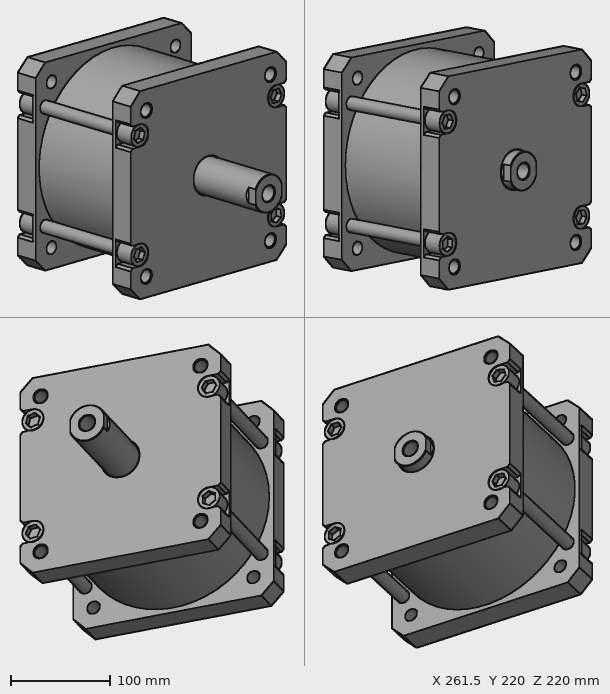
import cadquery as cq
import math

PLATE_THICKNESS = 26.0
BARREL_LENGTH = 111.1
SHAFT_LENGTH = 261.5
SHAFT_SHORT_END = 11.8
STACK_LENGTH = 2 * PLATE_THICKNESS + BARREL_LENGTH

PLATE_SIDE = 220.0
PLATE_CORNER_CHAMFER = 13.5
CORNER_HOLE_DIAMETER = 13.9
CORNER_HOLE_OFFSET = 87.5
HOLE_RIM_CHAMFER = 1.0

BARREL_DIAMETER = 210.0

SHAFT_DIAMETER = 40.0
SHAFT_END_CHAMFER = 0.5
FLAT_SPACING = 36.3
FLAT_LENGTH = 10.0
CENTRE_HOLE_DIAMETER = 16.7
CENTRE_HOLE_DEPTH = 39.2
CENTRE_HOLE_CHAMFER = 0.8
DRILL_POINT_ANGLE = 118.0

ROD_DIAMETER = 14.0
ROD_Y = 96.5
ROD_Z = 63.0
HEAD_DIAMETER = 23.5
HEAD_INSET = 1.0
SOCKET_ACROSS_FLATS = 13.9
SOCKET_DEPTH = 6.8
RODS = [(1, 1, 0), (-1, 1, -46), (1, -1, -27), (-1, -1, 6)]

SLOT_WIDTH = HEAD_DIAMETER
SLOT_DEPTH = 21.5
SLOT_MOUTH_CHAMFER = 3.0


def x_cylinder(diameter, start, length):
    """Cylinder along +X, centred on the shaft axis."""
    return cq.Workplane("YZ", origin=(start, 0, 0)).circle(diameter / 2).extrude(length)


def x_cone(diameter, start, height):
    """Cone on the shaft axis with its base at start; a negative height points along -X."""
    direction = cq.Vector(math.copysign(1, height), 0, 0)
    cone = cq.Solid.makeCone(diameter / 2, 0, abs(height), cq.Vector(start, 0, 0), direction)
    return cq.Workplane(cone)


def mirrored_end_for_end(body):
    """Copy of a body swapped to the opposite end of the barrel and plate stack."""
    return body.mirror("YZ", (STACK_LENGTH / 2, 0, 0))


def make_head_slot():
    """Round-ended slot for the rod head at +Y, +Z, with a flared mouth on the plate side."""
    edge = PLATE_SIDE / 2
    half_width = SLOT_WIDTH / 2
    half_mouth = half_width + SLOT_MOUTH_CHAMFER
    flare_start = edge - SLOT_MOUTH_CHAMFER
    return (
        cq.Workplane("YZ")
        .moveTo(ROD_Y, ROD_Z + half_width)
        .lineTo(flare_start, ROD_Z + half_width)
        .lineTo(edge, ROD_Z + half_mouth)
        .lineTo(edge, ROD_Z - half_mouth)
        .lineTo(flare_start, ROD_Z - half_width)
        .lineTo(ROD_Y, ROD_Z - half_width)
        .threePointArc((ROD_Y - half_width, ROD_Z), (ROD_Y, ROD_Z + half_width))
        .close()
        .extrude(SLOT_DEPTH)
    )


def make_end_plate():
    """Square end plate with its outer face at x = 0."""
    plate = (
        cq.Workplane("YZ")
        .rect(PLATE_SIDE, PLATE_SIDE)
        .extrude(PLATE_THICKNESS)
        .edges("|X")
        .chamfer(PLATE_CORNER_CHAMFER)
    )
    hole_pitch = 2 * CORNER_HOLE_OFFSET
    corner_holes = (
        cq.Workplane("YZ")
        .rect(hole_pitch, hole_pitch, forConstruction=True)
        .vertices()
        .circle(CORNER_HOLE_DIAMETER / 2)
        .extrude(PLATE_THICKNESS)
    )
    shaft_bore = x_cylinder(SHAFT_DIAMETER, 0, PLATE_THICKNESS)
    plate = plate.cut(corner_holes).cut(shaft_bore)
    plate = plate.faces("<X").edges("%CIRCLE").chamfer(HOLE_RIM_CHAMFER)

    rod_holes = (
        cq.Workplane("YZ")
        .rect(2 * ROD_Y, 2 * ROD_Z, forConstruction=True)
        .vertices()
        .circle(ROD_DIAMETER / 2)
        .extrude(PLATE_THICKNESS)
    )
    plate = plate.cut(rod_holes)
    upper_slot = make_head_slot()
    for slot in (upper_slot, upper_slot.mirror("XY")):
        plate = plate.cut(slot).cut(slot.mirror("XZ"))
    return plate


def make_barrel():
    """Round barrel between the plates, bored for the shaft."""
    barrel = x_cylinder(BARREL_DIAMETER, PLATE_THICKNESS, BARREL_LENGTH)
    return barrel.cut(x_cylinder(SHAFT_DIAMETER, PLATE_THICKNESS, BARREL_LENGTH))


def make_flat_cut(start):
    """Material removed for the +Y flat of the shaft's -X end, run out at 45 degrees."""
    flat_y = FLAT_SPACING / 2
    radius = SHAFT_DIAMETER / 2
    flat_end = start + FLAT_LENGTH
    return (
        cq.Workplane("XY", origin=(0, 0, -radius))
        .polyline([
            (start, flat_y),
            (flat_end, flat_y),
            (flat_end + radius - flat_y, radius),
            (start, radius),
        ])
        .close()
        .extrude(SHAFT_DIAMETER)
    )


def make_centre_hole(start):
    """Drilled hole in the shaft's -X end, with a chamfered rim and a pointed bottom."""
    rim_diameter = CENTRE_HOLE_DIAMETER + 2 * CENTRE_HOLE_CHAMFER
    point_height = CENTRE_HOLE_DIAMETER / 2 / math.tan(math.radians(DRILL_POINT_ANGLE / 2))
    hole = x_cylinder(CENTRE_HOLE_DIAMETER, start, CENTRE_HOLE_DEPTH)
    hole = hole.union(x_cone(CENTRE_HOLE_DIAMETER, start + CENTRE_HOLE_DEPTH, point_height))
    return hole.union(x_cone(rim_diameter, start, rim_diameter / 2))


def make_shaft():
    """Through shaft with broken end edges, two flats and a centre hole at each end."""
    start = -SHAFT_SHORT_END
    middle = (start + SHAFT_LENGTH / 2, 0, 0)
    shaft = x_cylinder(SHAFT_DIAMETER, start, SHAFT_LENGTH)
    shaft = shaft.faces("<X or >X").edges().chamfer(SHAFT_END_CHAMFER)
    flat = make_flat_cut(start)
    for cutter in (flat, flat.mirror("XZ"), make_centre_hole(start)):
        shaft = shaft.cut(cutter).cut(cutter.mirror("YZ", middle))
    return shaft


def make_tie_rod(y_side, z_side, socket_turn):
    """Tie rod with a hex-socket head seated in a slot of each plate."""
    head_length = SLOT_DEPTH - HEAD_INSET
    socket_diameter = SOCKET_ACROSS_FLATS / math.cos(math.pi / 6)
    rod = x_cylinder(ROD_DIAMETER, SLOT_DEPTH, STACK_LENGTH - 2 * SLOT_DEPTH)
    head = x_cylinder(HEAD_DIAMETER, HEAD_INSET, head_length)
    socket = (
        cq.Workplane("YZ", origin=(HEAD_INSET, 0, 0))
        .polygon(6, socket_diameter)
        .extrude(SOCKET_DEPTH)
        .rotate((0, 0, 0), (1, 0, 0), socket_turn)
    )
    head = head.cut(socket)
    rod = rod.union(head).union(mirrored_end_for_end(head))
    return rod.translate((0, y_side * ROD_Y, z_side * ROD_Z))


near_plate = make_end_plate()
far_plate = mirrored_end_for_end(near_plate)
barrel = make_barrel()
shaft = make_shaft()
tie_rods = [make_tie_rod(*rod) for rod in RODS]

result = cq.Compound.makeCompound([
    near_plate.val(),
    far_plate.val(),
    barrel.val(),
    shaft.val(),
    *[rod.val() for rod in tie_rods],
])